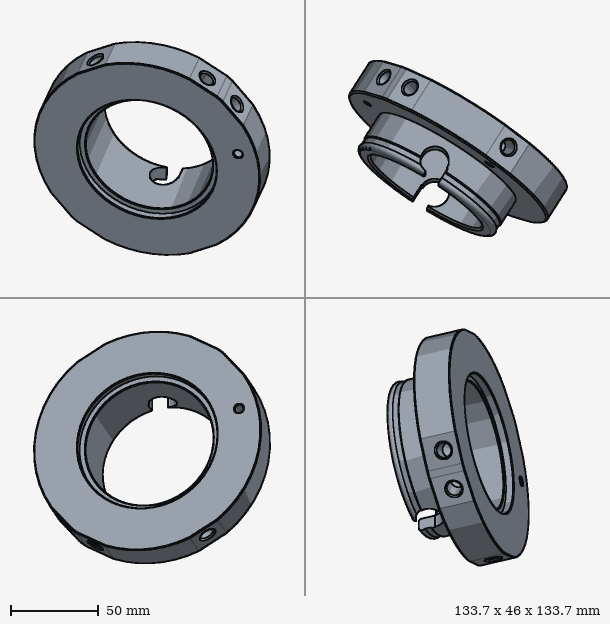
import cadquery as cq
import math

flange_diameter = 133.7
flange_thickness = 22.0
front_edge_chamfer = 0.5
back_edge_chamfer = 1.0
total_length = 46.0
bore_diameter = 75.0
bore_back_chamfer = 1.2
recess_diameter = 82.0
recess_depth = 4.7
rim_chamfer = 0.5

hub_diameter = 92.0
groove_diameter = 90.8
lip_rounding = 2.3
groove_end_depth = 7.2

flat_distance = 66.2
flat_angles = [-30, 30, 50, 150, 210, 230]
radial_hole_diameter = 8.5
radial_hole_mouth = 10.4
radial_hole_y = 9.5
radial_hole_depth = 13.6
drill_tip_angle = 118.0

cross_hole_diameter = 6.0
cross_hole_circle_radius = 56.0
cross_hole_flat_angle = -30

pin_hole_diameter = 5.0
pin_hole_mouth = 6.0
pin_circle_radius = 55.7
pin_angle = 15.0

window_radius = 8.2
window_depth = 10.0
opening_wide_side = 8.7
opening_narrow_side = 1.0


def ring():
    """Flange and hub as one revolved body."""
    flange_radius = flange_diameter / 2
    hub_radius = hub_diameter / 2
    groove_radius = groove_diameter / 2
    bore_radius = bore_diameter / 2
    recess_radius = recess_diameter / 2
    groove_step = hub_radius - groove_radius

    lip_center_radius = hub_radius - lip_rounding
    lip_center_y = total_length - lip_rounding
    lip_foot_y = lip_center_y - math.sqrt(lip_rounding**2 - (groove_radius - lip_center_radius) ** 2)
    groove_end_y = total_length - groove_end_depth
    diagonal = lip_rounding * math.sqrt(0.5)

    profile = (
        cq.Workplane("XY")
        .moveTo(recess_radius + rim_chamfer, 0)
        .lineTo(flange_radius - front_edge_chamfer, 0)
        .lineTo(flange_radius, front_edge_chamfer)
        .lineTo(flange_radius, flange_thickness - back_edge_chamfer)
        .lineTo(flange_radius - back_edge_chamfer, flange_thickness)
        .lineTo(hub_radius, flange_thickness)
        .lineTo(hub_radius, groove_end_y - groove_step)
        .lineTo(groove_radius, groove_end_y)
        .lineTo(groove_radius, lip_foot_y)
        .threePointArc(
            (lip_center_radius + diagonal, lip_center_y + diagonal),
            (lip_center_radius, total_length),
        )
        .lineTo(bore_radius + bore_back_chamfer, total_length)
        .lineTo(bore_radius, total_length - bore_back_chamfer)
        .lineTo(bore_radius, recess_depth + rim_chamfer)
        .lineTo(bore_radius + rim_chamfer, recess_depth)
        .lineTo(recess_radius, recess_depth)
        .lineTo(recess_radius, rim_chamfer)
        .close()
    )
    return profile.revolve(360, (0, 0, 0), (0, 1, 0))


def flat_cutter(angle):
    """Prism that cuts one flat and carries the edge chamfers along it."""
    outside_z = flange_diameter
    prism = (
        cq.Workplane("YZ")
        .moveTo(0, flat_distance - front_edge_chamfer)
        .lineTo(front_edge_chamfer, flat_distance)
        .lineTo(flange_thickness - back_edge_chamfer, flat_distance)
        .lineTo(flange_thickness, flat_distance - back_edge_chamfer)
        .lineTo(flange_thickness, outside_z)
        .lineTo(0, outside_z)
        .close()
        .extrude(flange_diameter / 2, both=True)
    )
    return prism.rotate((0, 0, 0), (0, 1, 0), angle)


def radial_hole(angle):
    """Blind drilled hole with a countersunk mouth and a conical floor, square to its flat."""
    hole_radius = radial_hole_diameter / 2
    mouth_radius = radial_hole_mouth / 2
    floor_z = flat_distance - radial_hole_depth
    tip_z = floor_z - hole_radius / math.tan(math.radians(drill_tip_angle / 2))
    drill = (
        cq.Workplane("XZ")
        .moveTo(0, tip_z)
        .lineTo(hole_radius, floor_z)
        .lineTo(hole_radius, flat_distance - (mouth_radius - hole_radius))
        .lineTo(mouth_radius, flat_distance)
        .lineTo(0, flat_distance)
        .close()
        .revolve(360, (0, 0, 0), (0, 1, 0))
    )
    return drill.translate((0, radial_hole_y, 0)).rotate((0, 0, 0), (0, 1, 0), angle)


def cross_hole():
    """Axial hole from the flange back face to the middle of one radial hole."""
    drill = (
        cq.Workplane("XZ", origin=(0, radial_hole_y, cross_hole_circle_radius))
        .circle(cross_hole_diameter / 2)
        .extrude(radial_hole_y - flange_thickness)
    )
    return drill.rotate((0, 0, 0), (0, 1, 0), cross_hole_flat_angle)


def pin_hole():
    """Through hole with a countersink on the front face."""
    pin_radius = pin_hole_diameter / 2
    mouth_radius = pin_hole_mouth / 2
    drill = (
        cq.Workplane("XY")
        .lineTo(mouth_radius, 0)
        .lineTo(pin_radius, mouth_radius - pin_radius)
        .lineTo(pin_radius, flange_thickness)
        .lineTo(0, flange_thickness)
        .close()
        .revolve(360, (0, 0, 0), (0, 1, 0))
    )
    return drill.translate((pin_circle_radius, 0, 0)).rotate((0, 0, 0), (0, 1, 0), -pin_angle)


def hooked_slot():
    """Upper slot: a round window joined to the back face by a one-sided opening."""
    window_y = total_length - window_depth
    window = (
        cq.Workplane("XY")
        .center(0, window_y)
        .circle(window_radius)
        .extrude(hub_diameter)
    )
    opening = (
        cq.Workplane("XY")
        .moveTo(-opening_wide_side, window_y)
        .lineTo(opening_narrow_side, window_y)
        .lineTo(opening_narrow_side, total_length)
        .lineTo(-opening_wide_side, total_length)
        .close()
        .extrude(hub_diameter)
    )
    return window.union(opening)


result = ring()

for flat_angle in flat_angles:
    result = result.cut(flat_cutter(flat_angle))
    result = result.cut(radial_hole(flat_angle))

result = result.cut(cross_hole())
result = result.cut(pin_hole())

for slot_turn in (0, 180):
    result = result.cut(hooked_slot().rotate((0, 0, 0), (0, 1, 0), slot_turn))